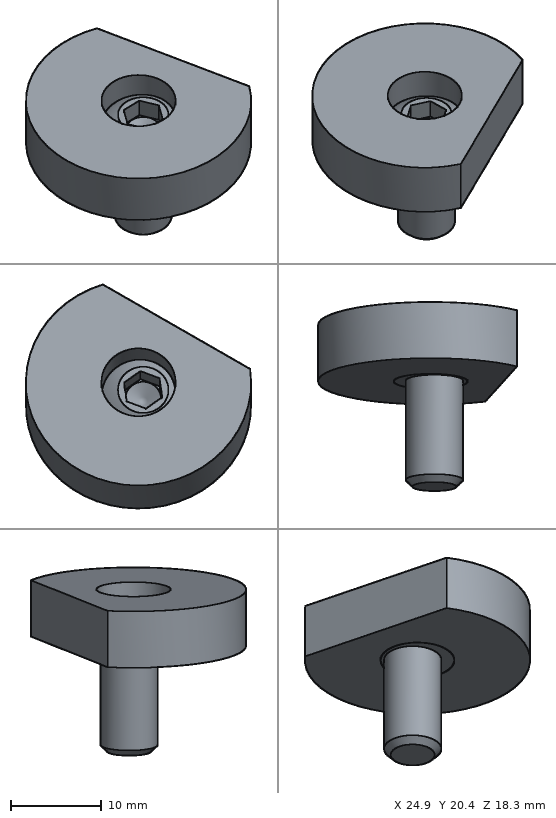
import cadquery as cq
import math

washer_diameter = 24.9
washer_radius = washer_diameter / 2
washer_thickness = 6.35
flat_distance = 7.92
bore_diameter = 8.2
bore_radius = bore_diameter / 2

overall_height = 18.3
shank_x = 0.4
shank_y = 0.35
shank_diameter = 6.35
shank_length = overall_height - washer_thickness
tip_chamfer = 0.75
head_diameter = 8.1
head_radius = head_diameter / 2
head_top_depth = 2.26
head_height = washer_thickness - head_top_depth
head_top_radius = 2.8
dome_radius = 6.6

hex_across_flats = 3.95
hex_corner_diameter = hex_across_flats / math.cos(math.radians(30))
hex_rotation = 9.7
hex_depth = 2.22
drill_radius = 1.95
drill_point_angle = 118.0
drill_cone_height = drill_radius / math.tan(math.radians(drill_point_angle / 2))


def make_washer():
    """Disc with a side flat and a through bore for the screw head."""
    disc = cq.Workplane("XY").circle(washer_radius).circle(bore_radius).extrude(-washer_thickness)
    keep_depth = washer_radius + flat_distance
    keep = (
        cq.Workplane("XY")
        .center(0, flat_distance - keep_depth / 2)
        .rect(washer_diameter, keep_depth)
        .extrude(-washer_thickness)
    )
    return disc.intersect(keep)


def make_head():
    """Round head on the washer axis, its domed top centred on the shank axis."""
    body = cq.Workplane("XY", origin=(0, 0, -washer_thickness)).circle(head_radius).extrude(head_height)
    sphere_drop = math.sqrt(dome_radius**2 - head_top_radius**2)
    sphere_centre = (shank_x, shank_y, -head_top_depth - sphere_drop)
    dome = cq.Workplane("XY").sphere(dome_radius).translate(sphere_centre)
    return body.intersect(dome)


def make_shank():
    """Plain shank below the head with a chamfered tip."""
    return (
        cq.Workplane("XY", origin=(shank_x, shank_y, -washer_thickness))
        .circle(shank_diameter / 2)
        .extrude(-shank_length)
        .faces("<Z")
        .chamfer(tip_chamfer)
    )


def make_socket():
    """Hex recess and drill point, on the shank axis."""
    hexagon = cq.Workplane("XY").polygon(6, hex_corner_diameter).extrude(-hex_depth)
    hexagon = hexagon.rotate((0, 0, 0), (0, 0, 1), hex_rotation)
    drill_point = cq.Workplane(
        cq.Solid.makeCone(
            drill_radius, 0, drill_cone_height, cq.Vector(0, 0, -hex_depth), cq.Vector(0, 0, -1)
        )
    )
    return hexagon.union(drill_point).translate((shank_x, shank_y, -head_top_depth))


def make_cam_screw():
    return make_head().union(make_shank()).cut(make_socket())


washer = make_washer()
cam_screw = make_cam_screw()
result = cq.Compound.makeCompound([washer.solids().val(), cam_screw.solids().val()])